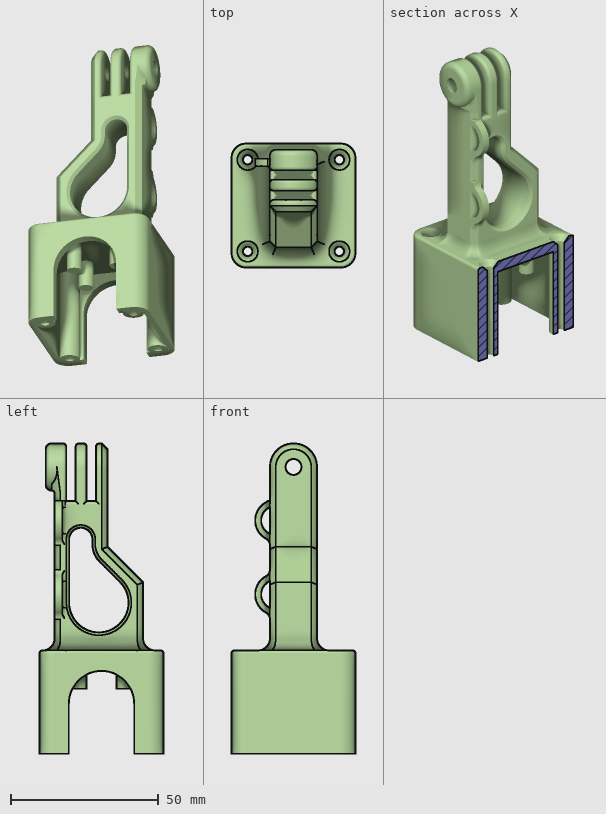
import cadquery as cq
import math

base_size = 42.0
base_height = 35.0
base_corner_radius = 5.0
base_top_fillet = 1.0
cavity_x = 34.0
cavity_y = 38.0
roof_thickness = 4.0
cavity_height = base_height - roof_thickness

arch_radius = 11.0
arch_center_z = 17.0

screw_offset = 15.5
screw_diameter = 3.1
countersink_diameter = 7.0
screw_post_diameter = 7.0

standoff_offset = 7.5
standoff_diameter = 5.0
standoff_bottom_z = 22.0

total_height = 105.0
tower_width = 16.0
half_width = tower_width / 2
finger_center_y = 6.9
head_depth = 18.0
head_back_y = finger_center_y + head_depth / 2
head_front_y = finger_center_y - head_depth / 2
slope_rise = 12.0
slope_top_z = 70.0
slope_bottom_z = slope_top_z - slope_rise
tower_front_y = head_front_y - slope_rise
tower_chamfer = 2.0
foot_fillet = 4.0

pivot_z = total_height - half_width
pivot_diameter = 5.3
middle_finger_thickness = 3.8
slot_width = 3.1
slot_floor_z = 85.5
finger_fillet = 1.2

boss_height = 3.0
boss_fillet = 2.0

collar_height = 1.0
collar_bottom_z = pivot_z - half_width - collar_height
collar_flare = 1.2

window_back_y = 10.9
window_small_radius = 3.9
window_small_z = 72.5
window_large_radius = 10.0
window_large_z = 51.1
window_bend_radius = 8.0
window_chamfer = 1.0

loop_heights = (53.9, 78.9)
loop_center_x = tower_chamfer - half_width
loop_outer_radius = 7.0
loop_thickness = 2.1
loop_depth = 2.6
loop_root_fillet = 2.5
loop_side_fillet = 1.0
loop_anchor_depth = 3.0

CORNERS = [(1, 1), (1, -1), (-1, 1), (-1, -1)]
DIAGONAL = math.sqrt(0.5)
HALF_BEND = math.radians(45) / 2

margin = 0.1


def block_on_z(width, depth, height):
    """Box centred on the Z axis and standing on Z = 0."""
    return cq.Workplane("XY").box(width, depth, height, centered=(True, True, False))


def edges_in_box(body, low, high):
    """Edges of a body whose centres lie inside the box between two corners."""
    return body.edges(cq.selectors.BoxSelector(low, high))


def y_cylinder(radius, y_start, y_end):
    """Cylinder along Y on the pivot axis."""
    plane = cq.Workplane("XZ", origin=(0, y_start, pivot_z))
    return plane.circle(radius).extrude(y_start - y_end)


def make_top_outline():
    """Block with the rounded top outline of the tower, long in Y."""
    return (
        cq.Workplane("XZ")
        .moveTo(-half_width, base_height)
        .lineTo(-half_width, pivot_z)
        .threePointArc((0, total_height), (half_width, pivot_z))
        .lineTo(half_width, base_height)
        .close()
        .extrude(base_size, both=True)
    )


def make_back_edge_wedge(low_z, high_z, low_shift, high_shift):
    """Cutter for the +X back edge; its 45 degree face lies further back by each given shift."""
    outside = half_width + tower_chamfer
    chamfer_start_y = head_back_y - tower_chamfer

    def section(shift):
        front_y = chamfer_start_y + shift - tower_chamfer
        length = 4 * tower_chamfer
        return [(outside, front_y), (outside, front_y + length), (outside - length, front_y + length)]

    return (
        cq.Workplane("XY", origin=(0, 0, low_z))
        .polyline(section(low_shift))
        .close()
        .workplane(offset=high_z - low_z)
        .polyline(section(high_shift))
        .close()
        .loft(ruled=True)
    )


def make_tower_body():
    """Stepped side profile with a rounded top and chamfered front and back edges."""
    collar_y = head_back_y + collar_height
    collar_top_z = collar_bottom_z + collar_height
    arc_offset = collar_height * DIAGONAL
    body = (
        cq.Workplane("YZ")
        .moveTo(tower_front_y, base_height)
        .lineTo(head_back_y, base_height)
        .lineTo(head_back_y, collar_bottom_z)
        .threePointArc((collar_y - arc_offset, collar_bottom_z + arc_offset), (collar_y, collar_top_z))
        .lineTo(collar_y, total_height)
        .lineTo(head_front_y, total_height)
        .lineTo(head_front_y, slope_top_z)
        .lineTo(tower_front_y, slope_bottom_z)
        .close()
        .extrude(half_width, both=True)
        .intersect(make_top_outline())
    )
    front_faces = body.faces(cq.selectors.BoxSelector(
        (-half_width, tower_front_y - margin, base_height),
        (half_width, head_front_y + margin, total_height),
    ))
    body = front_faces.edges("not |X").chamfer(tower_chamfer)
    straight_wedge = make_back_edge_wedge(base_height, collar_bottom_z, 0, 0)
    flared_wedge = make_back_edge_wedge(collar_bottom_z, pivot_z, 0, collar_flare)
    for wedge in (straight_wedge, flared_wedge):
        body = body.cut(wedge).cut(wedge.mirror("YZ"))
    return body


def add_rear_boss(tower):
    """Round boss on the rear finger, rounded at its outer end."""
    boss = y_cylinder(half_width, head_back_y - tower_chamfer, head_back_y + boss_height)
    boss = boss.faces(">Y").edges().fillet(boss_fillet)
    return tower.union(boss)


def make_window():
    """Pear-shaped cutter: a small and a large circle joined by a flat back and a bent front."""
    small_y = window_back_y - window_small_radius
    large_y = window_back_y - window_large_radius
    front_y = small_y - window_small_radius
    leave_y = large_y - window_large_radius * DIAGONAL
    leave_z = window_large_z + window_large_radius * DIAGONAL
    bend_z = leave_z + (front_y - leave_y)
    bend_tangent = window_bend_radius * math.tan(HALF_BEND)
    bend_end_y = front_y - bend_tangent * DIAGONAL
    bend_end_z = bend_z - bend_tangent * DIAGONAL
    bend_center_y = front_y - window_bend_radius
    bend_center_z = bend_z + bend_tangent
    bend_mid_y = bend_center_y + window_bend_radius * math.cos(HALF_BEND)
    bend_mid_z = bend_center_z - window_bend_radius * math.sin(HALF_BEND)
    return (
        cq.Workplane("YZ")
        .moveTo(window_back_y, window_large_z)
        .lineTo(window_back_y, window_small_z)
        .threePointArc((small_y, window_small_z + window_small_radius), (front_y, window_small_z))
        .lineTo(front_y, bend_center_z)
        .threePointArc((bend_mid_y, bend_mid_z), (bend_end_y, bend_end_z))
        .lineTo(leave_y, leave_z)
        .threePointArc((large_y, window_large_z - window_large_radius), (window_back_y, window_large_z))
        .close()
        .extrude(half_width, both=True)
    )


def cut_finger_slots(tower):
    """Two slots that split the head into three fingers, with rounded side edges."""
    slot_height = total_height - slot_floor_z
    slot_offset = (middle_finger_thickness + slot_width) / 2
    for side in (-1, 1):
        slot_y = finger_center_y + side * slot_offset
        slot = block_on_z(base_size, slot_width, slot_height).translate((0, slot_y, slot_floor_z))
        tower = tower.cut(slot)
    for side in (-1, 1):
        slot_y = finger_center_y + side * slot_offset
        reach = slot_width / 2 + margin
        rim = edges_in_box(
            tower,
            (-half_width - margin, slot_y - reach, slot_floor_z - margin),
            (half_width + margin, slot_y + reach, total_height + margin),
        )
        tower = rim.newObject(rim.vals()).edges("not |X").fillet(finger_fillet)
    return tower


def cut_window(tower):
    """Pear-shaped window with chamfered rims."""
    tower = tower.cut(make_window())
    side_faces = tower.faces("<X").vals() + tower.faces(">X").vals()
    rims = [rim for face in side_faces for rim in face.innerWires()]
    rim_edges = [edge for rim in rims for edge in rim.Edges()]
    return tower.newObject(rim_edges).chamfer(window_chamfer)


def make_loop(center_z):
    """Half ring standing off the -X side, flared where it meets the tower."""
    wall_x = -half_width
    outer = loop_outer_radius
    inner = outer - loop_thickness
    root_x = wall_x - loop_root_fillet
    root_dz = math.sqrt((outer + loop_root_fillet) ** 2 - (root_x - loop_center_x) ** 2)
    touch_x = loop_center_x + (root_x - loop_center_x) * outer / (outer + loop_root_fillet)
    touch_dz = root_dz * outer / (outer + loop_root_fillet)
    angle = (math.atan2(touch_dz - root_dz, touch_x - root_x)) / 2
    mid_x = root_x + loop_root_fillet * math.cos(angle)
    mid_dz = root_dz + loop_root_fillet * math.sin(angle)
    anchor_x = wall_x + loop_anchor_depth
    loop = (
        cq.Workplane("XZ", origin=(0, head_back_y, center_z))
        .moveTo(anchor_x, root_dz)
        .lineTo(wall_x, root_dz)
        .threePointArc((mid_x, mid_dz), (touch_x, touch_dz))
        .threePointArc((loop_center_x - outer, 0), (touch_x, -touch_dz))
        .threePointArc((mid_x, -mid_dz), (wall_x, -root_dz))
        .lineTo(anchor_x, -root_dz)
        .lineTo(anchor_x, -inner)
        .lineTo(loop_center_x, -inner)
        .threePointArc((loop_center_x - inner, 0), (loop_center_x, inner))
        .lineTo(anchor_x, inner)
        .close()
        .extrude(loop_depth + loop_side_fillet)
    )
    side_y = head_back_y - loop_depth
    fillet_x = wall_x - loop_side_fillet
    trim_height = 4 * outer
    trim_plane = cq.Workplane("XY", origin=(fillet_x, side_y - loop_side_fillet, center_z - trim_height / 2))
    trim_round = trim_plane.circle(loop_side_fillet).extrude(trim_height)
    trim_block = trim_plane.rect(2 * outer, 2 * loop_side_fillet).extrude(trim_height)
    trim_block = trim_block.translate((-outer, 0, 0))
    loop = loop.cut(trim_round).cut(trim_block)
    below_slots = block_on_z(2 * base_size, 2 * base_size, slot_floor_z)
    return loop.intersect(below_slots)


def make_base_block():
    """Solid base with rounded corners."""
    block = block_on_z(base_size, base_size, base_height)
    return block.edges("|Z").fillet(base_corner_radius)


def round_foot_and_rim(body):
    """Fillet where the tower meets the base, and round the top rim of the base."""
    foot = edges_in_box(
        body,
        (-half_width - margin, tower_front_y - margin, base_height - margin),
        (half_width + margin, head_back_y + margin, base_height + margin),
    )
    body = foot.fillet(foot_fillet)
    top_edges = edges_in_box(
        body,
        (-base_size, -base_size, base_height - margin),
        (base_size, base_size, base_height + margin),
    ).vals()
    foot_reach = head_back_y + foot_fillet + margin
    rim = []
    for edge in top_edges:
        center = edge.Center()
        is_corner = min(abs(center.x), abs(center.y)) > screw_offset
        if is_corner or max(abs(center.x), abs(center.y)) > foot_reach:
            rim.append(edge)
    return body.newObject(rim).fillet(base_top_fillet)


def make_cavity():
    """Hollow of the base, leaving a post at each corner and the roof standoffs."""
    cavity = block_on_z(cavity_x, cavity_y, cavity_height)
    for side_x, side_y in CORNERS:
        post = cq.Workplane("XY").circle(screw_post_diameter / 2).extrude(cavity_height)
        cavity = cavity.cut(post.translate((side_x * screw_offset, side_y * screw_offset, 0)))
        standoff = (
            cq.Workplane("XY")
            .circle(standoff_diameter / 2)
            .extrude(cavity_height - standoff_bottom_z)
            .translate((side_x * standoff_offset, side_y * standoff_offset, standoff_bottom_z))
        )
        cavity = cavity.cut(standoff)
    return cavity


def make_arch_opening(side):
    """Arched opening through the wall on one X side."""
    wall = (base_size - cavity_x) / 2
    return (
        cq.Workplane("YZ", origin=(side * (base_size - wall) / 2, 0, 0))
        .moveTo(-arch_radius, 0)
        .lineTo(-arch_radius, arch_center_z)
        .threePointArc((0, arch_center_z + arch_radius), (arch_radius, arch_center_z))
        .lineTo(arch_radius, 0)
        .close()
        .extrude(wall / 2, both=True)
    )


def cut_screw_holes(body):
    """Through holes with 90 degree countersinks at the four corners."""
    countersink_depth = (countersink_diameter - screw_diameter) / 2
    cutter = (
        cq.Workplane("XZ")
        .moveTo(0, 0)
        .lineTo(screw_diameter / 2, 0)
        .lineTo(screw_diameter / 2, base_height - countersink_depth)
        .lineTo(countersink_diameter / 2, base_height)
        .lineTo(0, base_height)
        .close()
        .revolve(360, (0, 0, 0), (0, 1, 0))
    )
    for side_x, side_y in CORNERS:
        body = body.cut(cutter.translate((side_x * screw_offset, side_y * screw_offset, 0)))
    return body


tower = cut_finger_slots(make_tower_body())
tower = cut_window(tower)
tower = add_rear_boss(tower)
tower = tower.cut(y_cylinder(pivot_diameter / 2, -base_size, base_size))

result = round_foot_and_rim(make_base_block().union(tower))
for loop_z in loop_heights:
    result = result.union(make_loop(loop_z))
result = result.cut(make_cavity())
result = result.cut(make_arch_opening(-1)).cut(make_arch_opening(1))
result = cut_screw_holes(result)